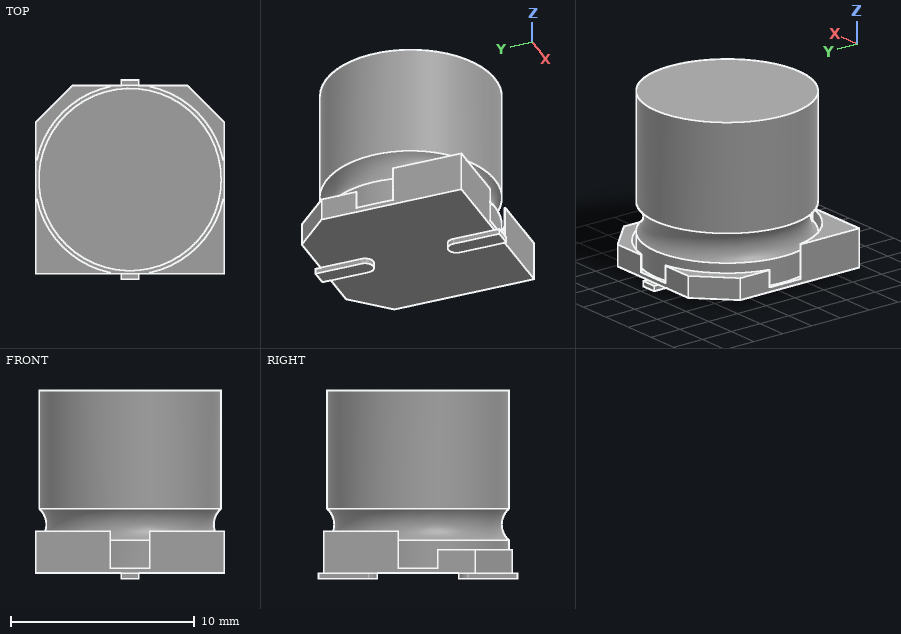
import cadquery as cq


total_height = 10.3
lead_span = 10.9

base_width = 10.3
base_bottom = 0.32
base_front_top = 2.6
base_rear_top = 1.6
corner_chamfer = 2.02
notch_width = 2.15
notch_floor = 0.59
pocket_radius = 5.2

can_radius = 4.98
neck_radius = 4.59
groove_bottom = 2.1
groove_top = 3.84

lead_width = 0.98
lead_length = 3.23


def box_between(x_range, y_range, z_range):
    """Axis-aligned box spanning the given ranges."""
    size = [high - low for low, high in (x_range, y_range, z_range)]
    corner = (x_range[0], y_range[0], z_range[0])
    return cq.Workplane("XY").box(*size, centered=False).translate(corner)


def make_base():
    """Square base with two chamfered rear corners, a lower rear half and a round pocket."""
    half_width = base_width / 2
    half_notch = notch_width / 2
    full_range = (-half_width, half_width)
    notch_range = (-half_notch, half_notch)

    base = box_between(full_range, full_range, (base_bottom, base_front_top))
    base = base.edges("|Z and >Y").chamfer(corner_chamfer)

    base = base.cut(
        box_between(full_range, (half_notch, half_width), (base_rear_top, base_front_top))
    )

    slot_height_range = (notch_floor, base_front_top)
    base = base.cut(box_between(full_range, notch_range, slot_height_range))
    base = base.cut(box_between(notch_range, full_range, slot_height_range))

    pocket = (
        cq.Workplane("XY")
        .workplane(offset=notch_floor)
        .circle(pocket_radius)
        .extrude(base_front_top - notch_floor)
    )
    return base.cut(pocket)


def make_can():
    """Cylindrical can, standing on the pocket floor, with an arc-shaped groove around it."""
    groove_middle = (groove_bottom + groove_top) / 2
    return (
        cq.Workplane("XZ")
        .moveTo(0, notch_floor)
        .lineTo(can_radius, notch_floor)
        .lineTo(can_radius, groove_bottom)
        .threePointArc((neck_radius, groove_middle), (can_radius, groove_top))
        .lineTo(can_radius, total_height)
        .lineTo(0, total_height)
        .close()
        .revolve(360, (0, 0, 0), (0, 1, 0))
    )


def make_lead(side):
    """Flat lead under the base with a semicircular inner end; side is -1 (front) or +1 (rear)."""
    half_width = lead_width / 2
    outer_end = side * lead_span / 2
    inner_tip = side * (lead_span / 2 - lead_length)
    arc_start = inner_tip + side * half_width
    return (
        cq.Workplane("XY")
        .moveTo(-half_width, outer_end)
        .lineTo(half_width, outer_end)
        .lineTo(half_width, arc_start)
        .threePointArc((0, inner_tip), (-half_width, arc_start))
        .close()
        .extrude(base_bottom)
    )


result = make_base().union(make_can())
for lead_side in (-1, 1):
    result = result.union(make_lead(lead_side))